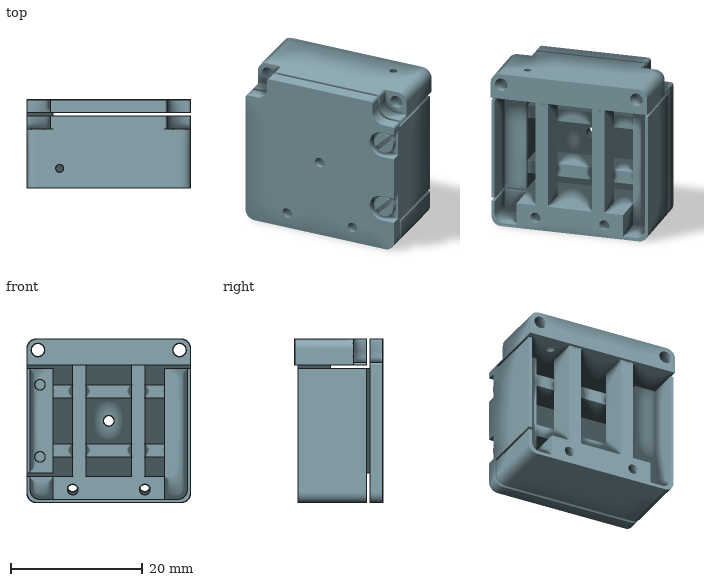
import cadquery as cq
import math

SIZE = 25.0
DEPTH = 13.5
CLEARANCE = 0.5
WALL = 0.5
CORNER_RADIUS = 1.5

half = SIZE / 2
plate_thickness = 2.0
frame_thickness = 5.5
frame_back = plate_thickness + CLEARANCE
frame_front = frame_back + frame_thickness
wall_front = DEPTH - CLEARANCE

opening_half = 8.5
block_half_height = opening_half - CLEARANCE
flexure_offset = 4.5
flexure_thickness = 2.0
flexure_front = frame_front - CLEARANCE

rib_offset = 4.5
rib_width = 2.0
window_radius = 0.25
notch_front = 4.5
corner_hole_offset = 10.8
corner_hole_radius = 1.0
top_hole_x = -7.5
top_hole_depth = 10.5
top_hole_radius = 0.6

notch_offset = 10.7
notch_radius = 1.8
notch_round = 0.4

small_hole_radius = 0.8
clamp_hole_x = 5.5
clamp_hole_z = -10.5
plate_hole_z = -10.0

screw_x = -10.5
screw_z = 5.5
shank_radius = small_hole_radius
head_radius = 1.6
head_top = 0.5
head_bottom = 1.5
head_pocket_radius = 2.1
slot_width = 0.7
slot_depth = 0.6
slot_angle = 45


def section_plane():
    """XZ plane: local axes are +X and +Z, extrusion runs towards -Y."""
    return cq.Workplane("XZ")


def extrude_depths(sketch, back, front):
    """Move a sketch drawn on the section plane to depth `back` and extrude it to `front`."""
    return sketch.extrude(front - back).translate((0, DEPTH / 2 - back, 0))


def block(x_min, x_max, z_min, z_max, back, front):
    sketch = section_plane().center((x_min + x_max) / 2, (z_min + z_max) / 2)
    return extrude_depths(sketch.rect(x_max - x_min, z_max - z_min), back, front)


def cylinders(points, radius, back, front):
    return extrude_depths(section_plane().pushPoints(points).circle(radius), back, front)


def corner_notch(side, back, front):
    """Relief in an upper corner: a concave round between two flats, with rounded lips."""
    flat = notch_offset - notch_radius
    lip = flat - notch_round
    lip_end = half - notch_round
    cos_45 = math.sqrt(0.5)
    lip_mid = notch_round * cos_45
    scoop_mid = notch_offset - notch_radius * cos_45

    outline = (
        section_plane()
        .moveTo(side * half, half)
        .lineTo(side * lip, half)
        .threePointArc((side * (lip + lip_mid), lip_end + lip_mid), (side * flat, lip_end))
        .lineTo(side * flat, notch_offset)
        .threePointArc((side * scoop_mid, scoop_mid), (side * notch_offset, flat))
        .lineTo(side * lip_end, flat)
        .threePointArc((side * (lip_end + lip_mid), lip + lip_mid), (side * half, lip))
        .close()
    )
    return extrude_depths(outline, back, front)


def cut_corner_notches(body, back, front):
    for side in (-1, 1):
        body = body.cut(corner_notch(side, back, front))
    return body


screw_points = [(screw_x, -screw_z), (screw_x, screw_z)]
clamp_hole_points = [(-clamp_hole_x, clamp_hole_z), (clamp_hole_x, clamp_hole_z)]


def make_base_plate():
    plate = block(-half, half, -half, half, 0, plate_thickness)
    plate = plate.edges("|Y and <Z").fillet(CORNER_RADIUS)
    plate = cut_corner_notches(plate, 0, plate_thickness)

    pad = block(-half, -opening_half, -block_half_height, block_half_height, plate_thickness, frame_back)
    plate = plate.union(pad)

    plate = plate.cut(cylinders(screw_points, shank_radius, 0, frame_back))
    plate = plate.cut(cylinders(screw_points, head_pocket_radius, 0, head_bottom))
    for x, z in screw_points:
        runout = block(-half, x, z - head_pocket_radius, z + head_pocket_radius, 0, head_bottom)
        plate = plate.cut(runout)

    plate_holes = [(0, 0), (-clamp_hole_x, plate_hole_z), (clamp_hole_x, plate_hole_z)]
    return plate.cut(cylinders(plate_holes, small_hole_radius, 0, plate_thickness))


def make_flexure_frame():
    frame = block(-half, half, -half, block_half_height, frame_back, wall_front)
    frame = frame.edges("|Y and <Z").fillet(CORNER_RADIUS)

    inner = half - WALL
    tray = block(-inner, inner, -inner, half, frame_front, wall_front)
    frame = frame.cut(tray.edges("|Y and <Z").fillet(CORNER_RADIUS))

    frame = frame.cut(block(-opening_half, opening_half, -opening_half, half, frame_back, wall_front))
    frame = frame.cut(block(-half, -opening_half, -opening_half, -block_half_height, frame_back, wall_front))

    for z in (-flexure_offset, flexure_offset):
        z_min = z - flexure_thickness / 2
        z_max = z + flexure_thickness / 2
        frame = frame.union(block(-opening_half, opening_half, z_min, z_max, frame_back, flexure_front))

    frame = frame.cut(cylinders(screw_points, shank_radius, frame_back, frame_front))
    return frame.cut(cylinders(clamp_hole_points, small_hole_radius, frame_back, frame_front))


def make_clamp():
    head = block(-half, half, opening_half, half, frame_back, DEPTH)
    rounded_front = block(-half, half, -half, half, notch_front, DEPTH)
    rounded_front = rounded_front.edges("|Y and >Z").fillet(CORNER_RADIUS)
    back_part = block(-half, half, opening_half, half, frame_back, notch_front)
    head = head.intersect(rounded_front).union(cut_corner_notches(back_part, frame_back, notch_front))

    rib_outer = rib_offset + rib_width / 2
    rib_inner = rib_offset - rib_width / 2
    lower_bar = block(-opening_half, opening_half, WALL - half, -opening_half, frame_front, wall_front)
    ribs = block(-rib_outer, rib_outer, -opening_half, opening_half, frame_front, wall_front)
    window = block(-rib_inner, rib_inner, -opening_half, opening_half, frame_front, wall_front)
    clamp = head.union(lower_bar).union(ribs)
    clamp = clamp.cut(window.edges("|Y").fillet(window_radius))

    corner_holes = [(-corner_hole_offset, corner_hole_offset), (corner_hole_offset, corner_hole_offset)]
    clamp = clamp.cut(cylinders(corner_holes, corner_hole_radius, notch_front, DEPTH))
    clamp = clamp.cut(cylinders(clamp_hole_points, small_hole_radius, frame_front, wall_front))

    top_hole = (
        cq.Workplane("XY", origin=(top_hole_x, DEPTH / 2 - top_hole_depth, opening_half))
        .circle(top_hole_radius)
        .extrude(half - opening_half)
    )
    return clamp.cut(top_hole)


def make_screw(x, z):
    head = cylinders([(x, z)], head_radius, head_top, head_bottom)
    slot = section_plane().center(x, z).transformed(rotate=(0, 0, -slot_angle))
    slot = slot.rect(2 * head_radius + slot_width, slot_width)
    head = head.cut(extrude_depths(slot, head_top, head_top + slot_depth))
    return head.union(cylinders([(x, z)], shank_radius, head_bottom, frame_front))


base_plate = make_base_plate()
flexure_frame = make_flexure_frame()
clamp = make_clamp()
screws = [make_screw(x, z).val() for x, z in screw_points]

result = cq.Compound.makeCompound([base_plate.val(), flexure_frame.val(), clamp.val(), *screws])